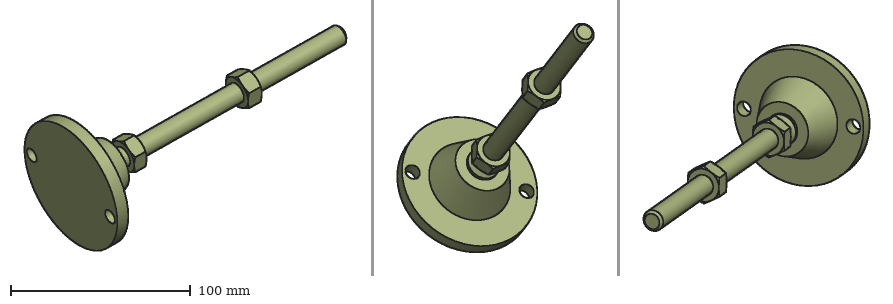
import cadquery as cq
import math

total_length = 197.0

flange_diameter = 80.0
flange_thickness = 8.0
hole_diameter = 8.5
hole_spacing = 67.4

hub_bottom_diameter = 48.0
hub_top_diameter = 32.0
hub_top = 29.0

collar_diameter = 18.5
collar_top = 31.0
cone_top = 33.9

rod_diameter = 12.2
tip_chamfer = 1.5

nut_across_flats = 19.3
nut_chamfer_height = 0.8
lower_nut_start = 38.0
lower_nut_thickness = 9.0
upper_nut_start = 121.0
upper_nut_thickness = 10.0


def make_turned_body():
    """Revolve the flange, conical hub, collar and rod as one body."""
    rod_radius = rod_diameter / 2
    profile = [
        (0, 0),
        (flange_diameter / 2, 0),
        (flange_diameter / 2, flange_thickness),
        (hub_bottom_diameter / 2, flange_thickness),
        (hub_top_diameter / 2, hub_top),
        (collar_diameter / 2, hub_top),
        (collar_diameter / 2, collar_top),
        (rod_radius, cone_top),
        (rod_radius, total_length - tip_chamfer),
        (rod_radius - tip_chamfer, total_length),
        (0, total_length),
    ]
    return cq.Workplane("XY").polyline(profile).close().revolve(360, (0, 0), (0, 1))


def make_nut(start, thickness):
    """Hex nut along Y, flats facing +X and -X, corners chamfered at both ends."""
    flat_radius = nut_across_flats / 2
    corner_radius = flat_radius / math.cos(math.pi / 6)
    end = start + thickness
    hexagon = (
        cq.Workplane("XZ", origin=(0, start, 0))
        .polygon(6, 2 * corner_radius)
        .extrude(-thickness)
        .rotate((0, 0, 0), (0, 1, 0), 30)
    )
    chamfer_profile = [
        (0, start),
        (flat_radius, start),
        (corner_radius, start + nut_chamfer_height),
        (corner_radius, end - nut_chamfer_height),
        (flat_radius, end),
        (0, end),
    ]
    envelope = cq.Workplane("XY").polyline(chamfer_profile).close().revolve(360, (0, 0), (0, 1))
    return hexagon.intersect(envelope)


mounting_holes = (
    cq.Workplane("XZ")
    .pushPoints([(-hole_spacing / 2, 0), (hole_spacing / 2, 0)])
    .circle(hole_diameter / 2)
    .extrude(-flange_thickness)
)

result = (
    make_turned_body()
    .union(make_nut(lower_nut_start, lower_nut_thickness))
    .union(make_nut(upper_nut_start, upper_nut_thickness))
    .cut(mounting_holes)
)